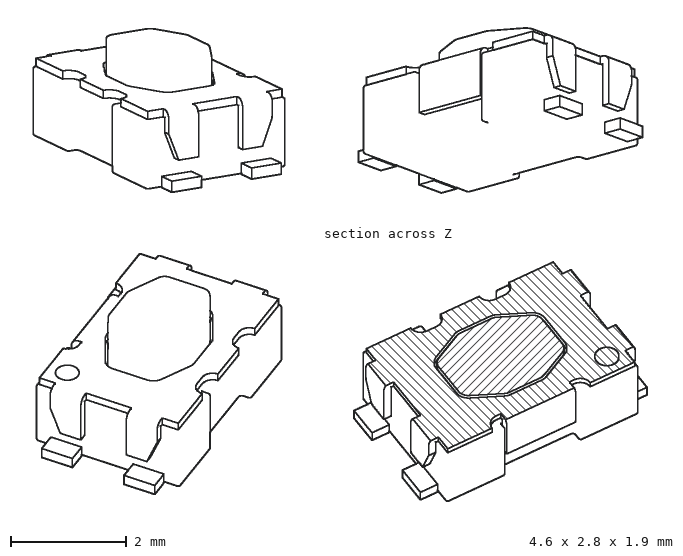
import cadquery as cq
import math


total_length = 4.6
total_height = 1.9
edge_radius = 0.05

base_length = 3.9
base_width = 2.8
base_height = 1.25
notch_width = 1.5
notch_depth = 0.202

sheet_thickness = 0.145
plate_length = base_length - 2 * edge_radius
plate_width = base_width - 2 * edge_radius
cover_top = base_height + sheet_thickness

leg_width = 0.6
leg_tip_width = 0.4
leg_offset = 0.74
leg_taper_start = 0.99
leg_bottom = 0.49

tab_width = 1.4
cutout_outer = 0.995
cutout_inner = 0.395
cutout_depth = 0.202

button_length = 2.105
button_width = 1.61
button_end_flat = 0.9
button_side_flat = 0.725
button_corner_radius = 0.2
button_clearance = 0.045

terminal_width = 0.6
terminal_offset = 0.8
terminal_thickness = 0.202

dot_diameter = 0.41
dot_depth = 0.05
dot_x = -1.555
dot_y = 0.985


def block(x_min, x_max, y_min, y_max, z_min, z_max):
    """Box between the given limits."""
    size = (x_max - x_min, y_max - y_min, z_max - z_min)
    return cq.Workplane("XY").box(*size, centered=False).translate((x_min, y_min, z_min))


def button_prism(clearance, z_min, z_max):
    """Elongated octagon with rounded corners, grown outward by the clearance."""
    half_length = button_length / 2
    half_width = button_width / 2
    end_y = button_end_flat / 2
    side_x = button_side_flat / 2
    corners = [
        (half_length, -end_y), (half_length, end_y),
        (side_x, half_width), (-side_x, half_width),
        (-half_length, end_y), (-half_length, -end_y),
        (-side_x, -half_width), (side_x, -half_width),
    ]
    turn = math.atan2(half_width - end_y, half_length - side_x)
    end_shift = clearance * math.tan((math.pi / 2 - turn) / 2)
    side_shift = clearance * math.tan(turn / 2)
    grown = []
    for x, y in corners:
        at_end = abs(x) == half_length
        grow_x = clearance if at_end else side_shift
        grow_y = end_shift if at_end else clearance
        grown.append((x + math.copysign(grow_x, x), y + math.copysign(grow_y, y)))
    prism = cq.Workplane("XY").workplane(offset=z_min).polyline(grown).close().extrude(z_max - z_min)
    return prism.edges("|Z").fillet(button_corner_radius + clearance)


def make_base():
    """Moulded block with a notch in each long side and every edge rounded."""
    base = cq.Workplane("XY").box(base_length, base_width, base_height, centered=(True, True, False))
    wall_y = base_width / 2 - notch_depth
    half_notch = notch_width / 2
    for y_min, y_max in ((wall_y, base_width / 2), (-base_width / 2, -wall_y)):
        base = base.cut(block(-half_notch, half_notch, y_min, y_max, 0, base_height))
    return base.edges("|Z").fillet(edge_radius).faces("<Z or >Z").edges().fillet(edge_radius)


def bent_strip(width, bottom):
    """Strip that curves down from the plate edge; bend line at the origin of X, along Y."""
    return (
        cq.Workplane("XZ")
        .moveTo(0, cover_top)
        .radiusArc((sheet_thickness, base_height), sheet_thickness)
        .lineTo(sheet_thickness, bottom)
        .lineTo(0, bottom)
        .close()
        .extrude(width / 2, both=True)
    )


def make_leg():
    """Leg on the +X, +Y corner, with the lower part of its outer side sloped."""
    plate_edge = plate_length / 2
    side = base_length / 2
    y_inner = leg_offset - leg_width / 2
    y_outer = leg_offset + leg_width / 2
    strip = bent_strip(leg_width, leg_bottom).translate((side, leg_offset, 0))
    slope = (
        cq.Workplane("YZ")
        .workplane(offset=side)
        .polyline([
            (y_outer, leg_taper_start),
            (y_outer, leg_bottom),
            (y_inner + leg_tip_width, leg_bottom),
        ])
        .close()
        .extrude(sheet_thickness)
    )
    bridge = block(plate_edge, side, y_inner, y_outer, base_height, cover_top)
    return strip.cut(slope).union(bridge)


def make_front_cutout():
    """Round-cornered opening in the front edge of the plate, on the +X side."""
    edge_y = -plate_width / 2
    inner_y = edge_y + cutout_depth
    return (
        cq.Workplane("XY")
        .workplane(offset=base_height)
        .moveTo(cutout_inner, edge_y)
        .radiusArc((cutout_inner + cutout_depth, inner_y), cutout_depth)
        .lineTo(cutout_outer - cutout_depth, inner_y)
        .radiusArc((cutout_outer, edge_y), cutout_depth)
        .close()
        .extrude(sheet_thickness)
    )


def make_rear_cutout():
    """Opening in the rear edge of the plate beside the tab, on the +X side."""
    edge_y = plate_width / 2
    inner_y = edge_y - cutout_depth
    return (
        cq.Workplane("XY")
        .workplane(offset=base_height)
        .moveTo(tab_width / 2, edge_y)
        .lineTo(tab_width / 2, inner_y)
        .lineTo(cutout_outer - cutout_depth, inner_y)
        .radiusArc((cutout_outer, edge_y), -cutout_depth)
        .close()
        .extrude(sheet_thickness)
    )


def make_dot():
    """Polarity dot, flush with the cover top."""
    return (
        cq.Workplane("XY")
        .workplane(offset=cover_top - dot_depth)
        .center(dot_x, dot_y)
        .circle(dot_diameter / 2)
        .extrude(dot_depth)
    )


def make_cover():
    """Plate with four side legs, a rear tab, edge cutouts and the button opening."""
    cover = block(
        -plate_length / 2, plate_length / 2, -plate_width / 2, plate_width / 2, base_height, cover_top
    )
    for cutout in (make_front_cutout(), make_rear_cutout()):
        cover = cover.cut(cutout).cut(cutout.mirror("YZ"))

    wall_y = base_width / 2 - notch_depth
    cover = cover.cut(
        block(-tab_width / 2, tab_width / 2, wall_y, base_width / 2, base_height, cover_top)
    )
    tab = bent_strip(tab_width, leg_bottom).rotate((0, 0, 0), (0, 0, 1), 90)
    cover = cover.union(tab.translate((0, wall_y, 0)))

    right_rear_leg = make_leg()
    left_rear_leg = right_rear_leg.mirror("YZ")
    for leg in (right_rear_leg, left_rear_leg):
        cover = cover.union(leg).union(leg.mirror("XZ"))

    cover = cover.cut(button_prism(button_clearance, base_height, cover_top))
    return cover.cut(make_dot())


def make_button():
    """Octagonal button standing on the base, with a rounded top edge."""
    return button_prism(0, base_height, total_height).faces(">Z").edges().fillet(edge_radius)


def make_terminal(x_side, y_side):
    """Flat terminal that butts against one end of the base."""
    length = (total_length - base_length) / 2
    centre_x = x_side * (base_length + length) / 2
    size = (length, terminal_width, terminal_thickness)
    terminal = cq.Workplane("XY").box(*size, centered=(True, True, False))
    return terminal.translate((centre_x, y_side * terminal_offset, 0))


base = make_base()
cover = make_cover()
button = make_button()
dot = make_dot()
terminals = [make_terminal(x_side, y_side) for x_side in (-1, 1) for y_side in (-1, 1)]

result = cq.Compound.makeCompound([
    base.solids().val(),
    cover.solids().val(),
    button.solids().val(),
    dot.val(),
    *[terminal.val() for terminal in terminals],
])